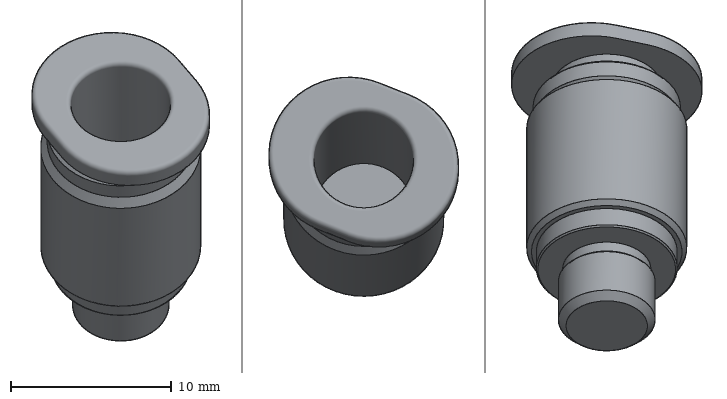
import cadquery as cq

total_height = 20.0
flange_length = 12.0
flange_width = 10.0
flange_thickness = 1.2
flange_rounding = 0.3
flange_bottom = total_height - flange_thickness

button_neck_radius = 3.45
sleeve_radius = 4.6
sleeve_top = 17.6
sleeve_chamfer = 0.3
body_radius = 5.0
body_top = 16.2
body_top_bevel_height = 0.6
body_bottom = 5.85
body_bottom_chamfer = 0.3
base_radius = 4.4
base_bottom = 4.48
base_chamfer = 0.1
relief_radius = 2.75
thread_radius = 3.02
thread_top = 3.78
thread_top_chamfer = thread_radius - relief_radius
thread_tip_chamfer = 0.48

socket_radius = 3.1
socket_depth = 12.0
socket_rounding = 0.3


def make_stem():
    """Revolve the stepped half profile, from the tip up to the flange."""
    profile = [
        (0, 0),
        (thread_radius - thread_tip_chamfer, 0),
        (thread_radius, thread_tip_chamfer),
        (thread_radius, thread_top - thread_top_chamfer),
        (relief_radius, thread_top),
        (relief_radius, base_bottom),
        (base_radius - base_chamfer, base_bottom),
        (base_radius, base_bottom + base_chamfer),
        (base_radius, body_bottom),
        (body_radius - body_bottom_chamfer, body_bottom),
        (body_radius, body_bottom + body_bottom_chamfer),
        (body_radius, body_top - body_top_bevel_height),
        (sleeve_radius, body_top),
        (sleeve_radius, sleeve_top - sleeve_chamfer),
        (sleeve_radius - sleeve_chamfer, sleeve_top),
        (button_neck_radius, sleeve_top),
        (button_neck_radius, flange_bottom),
        (0, flange_bottom),
    ]
    return cq.Workplane("XZ").polyline(profile).close().revolve(360, (0, 0, 0), (0, 1, 0))


def make_flange():
    """Oblong plate with its top rim rounded."""
    plate = (
        cq.Workplane("XY")
        .workplane(offset=flange_bottom)
        .slot2D(flange_length, flange_width)
        .extrude(flange_thickness)
    )
    return plate.faces(">Z").edges().fillet(flange_rounding)


def make_socket():
    """Round bore whose mouth flares out along a quarter-circle rounding."""
    mouth_start = total_height - socket_rounding
    mouth_radius = socket_radius + socket_rounding
    return (
        cq.Workplane("XZ")
        .moveTo(0, total_height - socket_depth)
        .lineTo(socket_radius, total_height - socket_depth)
        .lineTo(socket_radius, mouth_start)
        .radiusArc((mouth_radius, total_height), socket_rounding)
        .lineTo(0, total_height)
        .close()
        .revolve(360, (0, 0, 0), (0, 1, 0))
    )


result = make_stem().union(make_flange()).cut(make_socket())